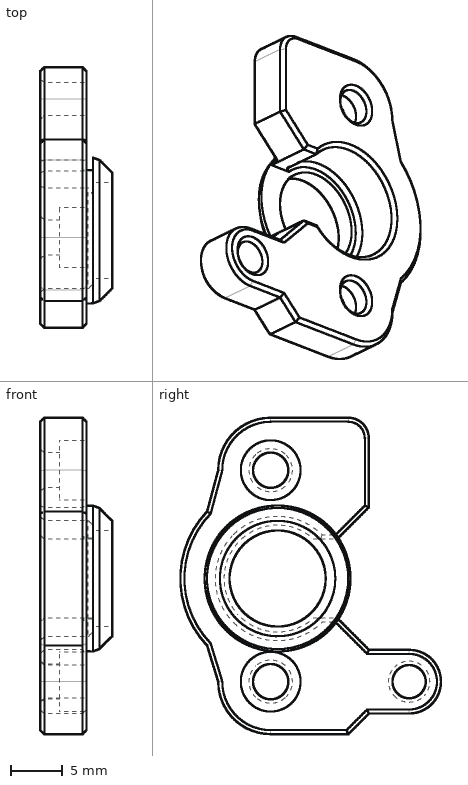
import cadquery as cq
import math


plate_thickness = 4.5
edge_chamfer = 0.4
rim_radius = 9.44
rim_end_z = 6.5
side_y = 8.85
side_corner_radius = 2.0

screw_y = -0.67
upper_screw_z = 10.5
lower_screw_z = -10.0
screw_diameter = 3.4
screw_corner_radius = 5.1
head_recess_diameter = 5.8
head_recess_x = 1.9

ear_y = 12.75
ear_z = lower_screw_z
ear_radius = 3.1
ear_hole_diameter = 3.2

bore_radius = 5.64
through_diameter = 9.3
opening_half_width = 3.82
seat_x = 5.1
seat_cone = 0.45

boss_end_x = 7.0
boss_radius = 7.08
boss_shoulder_x = 5.75
boss_shoulder_radius = 6.85
boss_end_radius = boss_shoulder_radius - (boss_end_x - boss_shoulder_x)

top_z = upper_screw_z + screw_corner_radius
bottom_z = lower_screw_z - screw_corner_radius
flank_y = screw_y - screw_corner_radius
rim_end_y = -math.sqrt(rim_radius**2 - rim_end_z**2)
ear_top_z = ear_z + ear_radius
ear_bottom_z = ear_z - ear_radius
opening_flare_z = -ear_top_z
opening_y = side_y - (opening_flare_z - opening_half_width)
bottom_y = side_y - (ear_bottom_z - bottom_z)


def arc_point(center_y, center_z, radius, angle):
    """Point on a circle in the YZ plane; angle in degrees from +Y toward +Z."""
    radians = math.radians(angle)
    return (center_y + radius * math.cos(radians), center_z + radius * math.sin(radians))


def make_plate():
    """Plate with sharp edges and no openings."""
    corner_y = side_y - side_corner_radius
    corner_z = top_z - side_corner_radius
    outline = (
        cq.Workplane("YZ")
        .moveTo(corner_y, top_z)
        .lineTo(screw_y, top_z)
        .threePointArc(arc_point(screw_y, upper_screw_z, screw_corner_radius, 135), (flank_y, upper_screw_z))
        .lineTo(rim_end_y, rim_end_z)
        .threePointArc((-rim_radius, 0), (rim_end_y, -rim_end_z))
        .lineTo(flank_y, lower_screw_z)
        .threePointArc(arc_point(screw_y, lower_screw_z, screw_corner_radius, 225), (screw_y, bottom_z))
        .lineTo(bottom_y, bottom_z)
        .lineTo(side_y, ear_bottom_z)
        .lineTo(ear_y, ear_bottom_z)
        .threePointArc((ear_y + ear_radius, ear_z), (ear_y, ear_top_z))
        .lineTo(side_y, ear_top_z)
        .lineTo(side_y, corner_z)
        .threePointArc(arc_point(corner_y, corner_z, side_corner_radius, 45), (corner_y, top_z))
        .close()
    )
    return outline.extrude(plate_thickness)


def revolve_about_x(points):
    """Solid of revolution about the X axis from (x, radius) points."""
    return cq.Workplane("XY").polyline(points).close().revolve(360, (0, 0), (1, 0))


def make_boss():
    """Tapered boss, started inside the plate so that the two overlap."""
    start_x = plate_thickness / 2
    return revolve_about_x([
        (start_x, 0),
        (start_x, boss_radius),
        (seat_x, boss_radius),
        (boss_shoulder_x, boss_shoulder_radius),
        (boss_end_x, boss_end_radius),
        (boss_end_x, 0),
    ])


def make_bore():
    """Bore with a conical step at its floor and a smaller through hole."""
    through_radius = through_diameter / 2
    return revolve_about_x([
        (0, 0),
        (0, bore_radius),
        (seat_x - seat_cone, bore_radius),
        (seat_x, bore_radius - seat_cone),
        (seat_x, through_radius),
        (boss_end_x, through_radius),
        (boss_end_x, 0),
    ])


def make_opening():
    """Flared side opening reaching from the bore out past the boss, down to the bore floor."""
    return (
        cq.Workplane("YZ")
        .polyline([
            (0, -opening_half_width),
            (opening_y, -opening_half_width),
            (side_y, -opening_flare_z),
            (side_y, opening_flare_z),
            (opening_y, opening_half_width),
            (0, opening_half_width),
        ])
        .close()
        .extrude(seat_x)
    )


def make_hole(y, z, diameter):
    """Through hole in the plate, chamfered at the front face."""
    radius = diameter / 2
    return revolve_about_x([
        (0, 0),
        (0, radius + edge_chamfer),
        (edge_chamfer, radius),
        (plate_thickness, radius),
        (plate_thickness, 0),
    ]).translate((0, y, z))


def make_head_recess(y, z):
    """Round recess for a screw head, open at the back face."""
    return (
        cq.Workplane("YZ", origin=(head_recess_x, y, z))
        .circle(head_recess_diameter / 2)
        .extrude(plate_thickness - head_recess_x)
    )


def chamfer_outline(body):
    """Chamfer the front outline, opening and bore included, and the back outline outside the boss."""
    boss_area = cq.selectors.BoxSelector(
        (0, -boss_radius, -opening_half_width),
        (boss_end_x, opening_y, opening_half_width),
    )
    outer_edges = cq.selectors.InverseSelector(boss_area)
    body = body.faces("<X").edges().chamfer(edge_chamfer)
    back_face = cq.selectors.BoxSelector(
        (plate_thickness - edge_chamfer / 2, -rim_radius, bottom_z),
        (plate_thickness + edge_chamfer / 2, side_y, top_z),
    )
    return body.faces(back_face).edges(outer_edges).chamfer(edge_chamfer)


result = make_plate().union(make_boss()).cut(make_bore()).cut(make_opening())
result = chamfer_outline(result)

for hole_y, hole_z, hole_diameter in [
    (screw_y, upper_screw_z, screw_diameter),
    (screw_y, lower_screw_z, screw_diameter),
    (ear_y, ear_z, ear_hole_diameter),
]:
    result = result.cut(make_hole(hole_y, hole_z, hole_diameter))

for hole_z in (upper_screw_z, lower_screw_z):
    result = result.cut(make_head_recess(screw_y, hole_z))